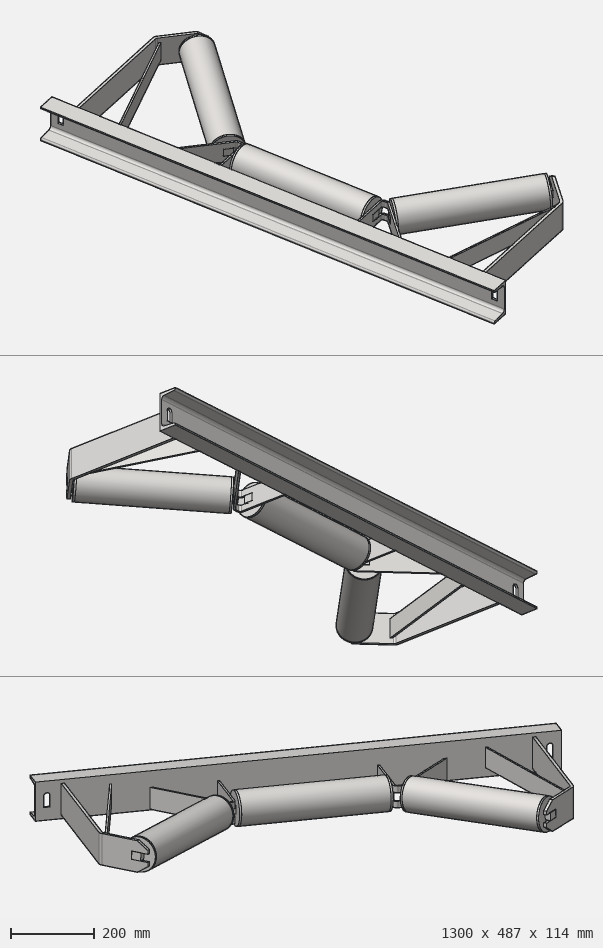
import cadquery as cq
import math

RAIL_LENGTH = 1300.0
RAIL_HEIGHT = 100.0
FLANGE_WIDTH = 50.0
WEB_THICKNESS = 6.0
FLANGE_THICKNESS = 8.5
FLANGE_SLOPE = 0.08
ROOT_FILLET = 8.5
TOE_ROUNDING = 4.5

SLOT_END_DISTANCE = 29.0
SLOT_WIDTH = 15.0
SLOT_LENGTH = 36.0
SLOT_TOP_Z = 20.0

ROLLER_DIAMETER = 88.0
ROLLER_LENGTH = 380.0
RIM_WIDTH = 5.0
RIM_STEP = 0.4
SHAFT_DEPTH = 25.0
SHAFT_WIDTH = 21.0
MIDDLE_ROLLER_Y = 117.0
DROP_BELOW_RAIL = 14.0
SIDE_ROLLER_DISTANCE = 452.0
SIDE_ROLLER_OFFSET = 72.0
TROUGH_ANGLE = 45.0
FORWARD_TILT = 3.0

POST_X = 586.0
POST_THICKNESS = 8.0
POST_WIDTH = 80.0
POST_BEND_Y = 343.0
POST_TOP_Y = 437.0
POST_BEND_RADIUS = 8.0
POST_TIP_CHAMFER_LENGTH = 29.0
POST_TIP_CHAMFER_WIDTH = 20.0

BRACKET_X = 195.0
BRACKET_FOOT_X = 367.0
BRACKET_THICKNESS = 5.0
BRACKET_WIDTH = 56.0
BRACKET_TOP_Y = 148.0
BRACKET_BEND_RADIUS = 5.0

BRACE_FOOT_X = 467.0
BRACE_THICKNESS = 5.0
BRACE_WIDTH = 52.0
BRACE_ANGLE = 17.3

ROLLER_RADIUS = ROLLER_DIAMETER / 2
TROUGH = math.radians(TROUGH_ANGLE)
TILT = math.radians(FORWARD_TILT)
UP_STRIP = (math.cos(TROUGH), math.sin(TROUGH))
ACROSS_STRIP = (math.sin(TROUGH), -math.cos(TROUGH))

POST_FACE_DISTANCE = POST_X * math.sin(TROUGH) + POST_BEND_Y * math.cos(TROUGH)
BRACKET_FACE_DISTANCE = BRACKET_FOOT_X * math.sin(TROUGH) - BRACKET_THICKNESS
SIDE_ROLLER_X = SIDE_ROLLER_DISTANCE * math.sin(TROUGH) + SIDE_ROLLER_OFFSET * math.cos(TROUGH)
SIDE_ROLLER_Y = SIDE_ROLLER_DISTANCE * math.cos(TROUGH) - SIDE_ROLLER_OFFSET * math.sin(TROUGH)

MIDDLE_ROLLER_Z = ROLLER_RADIUS - RAIL_HEIGHT / 2 - DROP_BELOW_RAIL
SIDE_ROLLER_Z = MIDDLE_ROLLER_Z + ROLLER_LENGTH / 2 * math.sin(TILT)

MIDDLE_SHAFT_REACH = BRACKET_X + BRACKET_THICKNESS
TILT_SETBACK = SHAFT_WIDTH / 2 * math.tan(TILT)
POST_SHAFT_REACH = (POST_FACE_DISTANCE - SIDE_ROLLER_DISTANCE) / math.cos(TILT) - TILT_SETBACK
BRACKET_SHAFT_REACH = (SIDE_ROLLER_DISTANCE - BRACKET_FACE_DISTANCE) / math.cos(TILT) - TILT_SETBACK
SLOT_TOOL_LENGTH = 1.2 * ROLLER_LENGTH

MIDDLE_FRAME = cq.Plane((0, MIDDLE_ROLLER_Y, MIDDLE_ROLLER_Z), xDir=(0, 1, 0), normal=(1, 0, 0))
SIDE_FRAME = cq.Plane(
    (-SIDE_ROLLER_X, SIDE_ROLLER_Y, SIDE_ROLLER_Z),
    xDir=(*UP_STRIP, 0),
    normal=(ACROSS_STRIP[0] * math.cos(TILT), ACROSS_STRIP[1] * math.cos(TILT), -math.sin(TILT)),
)


def shifted(point, direction, distance):
    """Return the plane point moved by a distance along a unit direction."""
    return (point[0] + direction[0] * distance, point[1] + direction[1] * distance)


def both_sides(left_body):
    """Return the left body and its separate mirror copy on the right."""
    return [left_body, left_body.mirror("YZ")]


def make_rail():
    """Rolled channel with tapered flanges, its web back at Y = 0 and its flanges towards -Y."""
    taper = FLANGE_SLOPE * FLANGE_WIDTH / 2
    toe_z = RAIL_HEIGHT / 2 - FLANGE_THICKNESS + taper
    root_z = toe_z - FLANGE_SLOPE * (FLANGE_WIDTH - WEB_THICKNESS)
    rail = (
        cq.Workplane("YZ", origin=(-RAIL_LENGTH / 2, 0, 0))
        .polyline([
            (0, -RAIL_HEIGHT / 2),
            (0, RAIL_HEIGHT / 2),
            (-FLANGE_WIDTH, RAIL_HEIGHT / 2),
            (-FLANGE_WIDTH, toe_z),
            (-WEB_THICKNESS, root_z),
            (-WEB_THICKNESS, -root_z),
            (-FLANGE_WIDTH, -toe_z),
            (-FLANGE_WIDTH, -RAIL_HEIGHT / 2),
        ])
        .close()
        .extrude(RAIL_LENGTH)
    )
    for z in (root_z, -root_z):
        rail = rail.edges(cq.NearestToPointSelector((0, -WEB_THICKNESS, z))).fillet(ROOT_FILLET)
    for z in (toe_z, -toe_z):
        rail = rail.edges(cq.NearestToPointSelector((0, -FLANGE_WIDTH, z))).fillet(TOE_ROUNDING)

    half_width = SLOT_WIDTH / 2
    slot_x = RAIL_LENGTH / 2 - SLOT_END_DISTANCE
    for x in (-slot_x, slot_x):
        slot = (
            cq.Workplane("XZ", origin=(x, 0, SLOT_TOP_Z))
            .moveTo(-half_width, -SLOT_LENGTH)
            .lineTo(-half_width, -half_width)
            .threePointArc((0, 0), (half_width, -half_width))
            .lineTo(half_width, -SLOT_LENGTH)
            .close()
            .extrude(WEB_THICKNESS)
        )
        rail = rail.cut(slot)
    return rail


def centred(frame, length):
    """Workplane where a body of the given length must start to be centred on the frame."""
    return cq.Workplane(frame).workplane(offset=-length / 2)


def make_roller(frame, reach_back, reach_ahead):
    """Roller centred on its frame, with slightly smaller end rims.

    Its flat-sided shaft reaches the given distances from the centre, backwards and ahead.
    """
    shell_length = ROLLER_LENGTH - 2 * RIM_WIDTH
    shell = centred(frame, shell_length).circle(ROLLER_RADIUS).extrude(shell_length)
    rims = centred(frame, ROLLER_LENGTH).circle(ROLLER_RADIUS - RIM_STEP).extrude(ROLLER_LENGTH)
    shaft = (
        cq.Workplane(frame)
        .workplane(offset=-reach_back)
        .rect(SHAFT_DEPTH, SHAFT_WIDTH)
        .extrude(reach_back + reach_ahead)
    )
    return shell.union(rims).union(shaft)


def shaft_slot(frame):
    """Tool for the slots that hold one roller's shaft: as wide as the shaft and open upwards."""
    return (
        centred(frame, SLOT_TOOL_LENGTH)
        .center((ROLLER_DIAMETER - SHAFT_DEPTH) / 2, 0)
        .rect(ROLLER_DIAMETER, SHAFT_WIDTH)
        .extrude(SLOT_TOOL_LENGTH)
    )


def extruded_strip(outline, width, middle_z):
    """Strip with the given XY outline, its width running along Z."""
    return (
        cq.Workplane("XY", origin=(0, 0, middle_z - width / 2))
        .polyline(outline)
        .close()
        .extrude(width)
    )


def rounded_bend(strip, outer_corner, inner_corner, middle_z, inner_radius, thickness):
    """Round a bend of a strip with concentric arcs."""
    for corner, radius in ((outer_corner, inner_radius + thickness), (inner_corner, inner_radius)):
        strip = strip.edges(cq.NearestToPointSelector((*corner, middle_z))).fillet(radius)
    return strip


def make_left_post():
    """Upright strip, bent at the top to face the roller, with a slotted tip with cut corners."""
    outer_bend = (-POST_X, POST_BEND_Y)
    inner_bend = (POST_THICKNESS - POST_X, POST_BEND_Y - POST_THICKNESS * math.tan(TROUGH / 2))
    tip = shifted(outer_bend, UP_STRIP, (POST_TOP_Y - POST_BEND_Y) / math.sin(TROUGH))
    outline = [
        (outer_bend[0], 0),
        outer_bend,
        tip,
        shifted(tip, ACROSS_STRIP, POST_THICKNESS),
        inner_bend,
        (inner_bend[0], 0),
    ]
    post = extruded_strip(outline, POST_WIDTH, 0)
    post = rounded_bend(post, outer_bend, inner_bend, 0, POST_BEND_RADIUS, POST_THICKNESS)

    tip_frame = cq.Plane((*tip, 0), xDir=(*UP_STRIP, 0), normal=(*ACROSS_STRIP, 0))
    for edge in (-POST_WIDTH / 2, POST_WIDTH / 2):
        inset = math.copysign(POST_TIP_CHAMFER_WIDTH, edge)
        corner = (
            cq.Workplane(tip_frame)
            .polyline([(0, edge), (-POST_TIP_CHAMFER_LENGTH, edge), (0, edge - inset)])
            .close()
            .extrude(POST_THICKNESS)
        )
        post = post.cut(corner)
    return post.cut(shaft_slot(SIDE_FRAME))


def make_left_bracket():
    """Strip bent over at the top, with an upright leg for the middle roller and a sloping leg."""
    inner_top = BRACKET_TOP_Y - BRACKET_THICKNESS
    inner_foot = BRACKET_FOOT_X - BRACKET_THICKNESS / math.sin(TROUGH)
    upright_outer = (-BRACKET_X, BRACKET_TOP_Y)
    upright_inner = (-BRACKET_X - BRACKET_THICKNESS, inner_top)
    slope_outer = (BRACKET_TOP_Y / math.tan(TROUGH) - BRACKET_FOOT_X, BRACKET_TOP_Y)
    slope_inner = (inner_top / math.tan(TROUGH) - inner_foot, inner_top)
    outline = [
        (upright_outer[0], 0),
        upright_outer,
        slope_outer,
        (-BRACKET_FOOT_X, 0),
        (-inner_foot, 0),
        slope_inner,
        upright_inner,
        (upright_inner[0], 0),
    ]
    bracket = extruded_strip(outline, BRACKET_WIDTH, MIDDLE_ROLLER_Z)
    for outer_corner, inner_corner in ((upright_outer, upright_inner), (slope_outer, slope_inner)):
        bracket = rounded_bend(
            bracket, outer_corner, inner_corner, MIDDLE_ROLLER_Z, BRACKET_BEND_RADIUS, BRACKET_THICKNESS
        )
    return bracket.cut(shaft_slot(MIDDLE_FRAME)).cut(shaft_slot(SIDE_FRAME))


def make_left_brace():
    """Straight strip from the rail to the sloping inner face of the post."""
    angle = math.radians(BRACE_ANGLE)
    foot_width = BRACE_THICKNESS / math.cos(angle)
    face_rise = POST_BEND_Y + POST_X * math.tan(TROUGH) - POST_THICKNESS / math.cos(TROUGH)

    def meeting_point(foot_x):
        y = (face_rise - foot_x * math.tan(TROUGH)) / (1 + math.tan(angle) * math.tan(TROUGH))
        return (-foot_x - y * math.tan(angle), y)

    outer_foot = BRACE_FOOT_X
    inner_foot = BRACE_FOOT_X - foot_width
    outline = [
        (-outer_foot, 0),
        meeting_point(outer_foot),
        meeting_point(inner_foot),
        (-inner_foot, 0),
    ]
    return extruded_strip(outline, BRACE_WIDTH, 0)


rail = make_rail()
middle_roller = make_roller(MIDDLE_FRAME, MIDDLE_SHAFT_REACH, MIDDLE_SHAFT_REACH)
side_rollers = both_sides(make_roller(SIDE_FRAME, POST_SHAFT_REACH, BRACKET_SHAFT_REACH))
posts = both_sides(make_left_post())
brackets = both_sides(make_left_bracket())
braces = both_sides(make_left_brace())

bodies = [rail, middle_roller, *side_rollers, *posts, *brackets, *braces]
result = cq.Compound.makeCompound([body.val() for body in bodies])